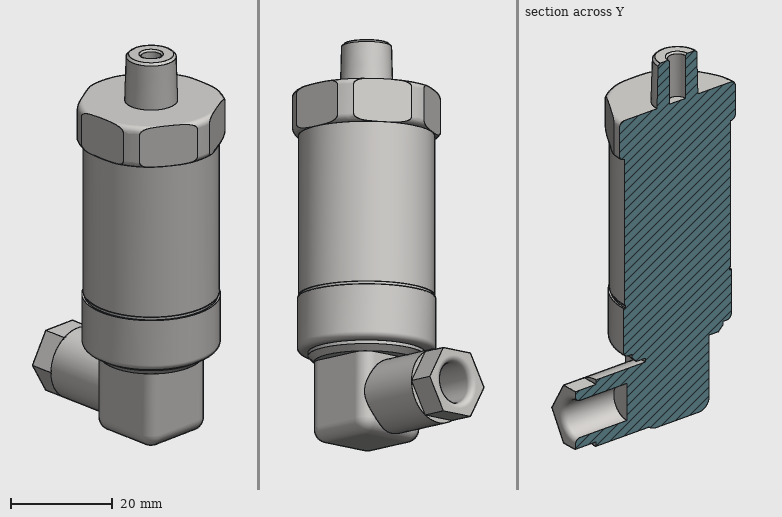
import cadquery as cq
import math


hexagon_sides = 6

elbow_width = 16.15
elbow_fillet = 2.7

outlet_axis_z = elbow_width / 2
outlet_diameter = 14.78
outlet_end_x = -25.81
outlet_hex_length = 5.2
bore_diameter = 8.1
bore_mouth_fillet = 1.25
bore_depth = 13.0

seat_bottom_z = 16.2
seat_diameter = 23.1
seat_chamfer = 1.2

collar_bottom_z = 18.1
collar_top_z = 29.0
collar_diameter = 27.33
collar_fillet = 1.2

body_diameter = 26.9
relief_height = 0.6
relief_depth = 0.2

nut_bottom_z = 61.8
nut_top_z = 70.45
nut_flats = 27.0
nut_corner_diameter = 29.44
nut_edge_fillet = 1.3

stem_top_z = 80.26
stem_base_diameter = 10.45
stem_tip_diameter = 9.9
stem_tip_chamfer = 0.5
port_diameter = 4.0
port_chamfer = 0.4
port_depth = stem_top_z - nut_top_z


def cylinder(diameter, bottom_z, top_z):
    """Cylinder on the main axis between two heights."""
    return cq.Workplane("XY", origin=(0, 0, bottom_z)).circle(diameter / 2).extrude(top_z - bottom_z)


def hexagon_corner_diameter(flats):
    """Diameter across the corners of a hexagon with the given width across flats."""
    return flats / math.cos(math.pi / hexagon_sides)


def make_elbow_block():
    height = collar_bottom_z
    block = cq.Workplane("XY").box(elbow_width, elbow_width, height, centered=(True, True, False))
    return block.edges("|Z").fillet(elbow_fillet).faces("<Z").edges().fillet(elbow_fillet)


def make_outlet():
    end_plane = cq.Plane(origin=(outlet_end_x, 0, outlet_axis_z), xDir=(0, 1, 0), normal=(1, 0, 0))
    hex_end = cq.Workplane(end_plane).polygon(hexagon_sides, outlet_diameter).extrude(outlet_hex_length)
    tube = (
        cq.Workplane(end_plane)
        .workplane(offset=outlet_hex_length)
        .circle(outlet_diameter / 2)
        .extrude(-outlet_end_x - outlet_hex_length)
    )
    return hex_end.union(tube)


def make_outlet_bore():
    """Blind bore along X whose mouth flares outward with a convex round."""
    radius = bore_diameter / 2
    mouth_radius = radius + bore_mouth_fillet
    arc_offset = bore_mouth_fillet * (1 - math.sqrt(0.5))
    profile = (
        cq.Workplane("XY")
        .moveTo(0, 0)
        .lineTo(0, mouth_radius)
        .threePointArc((arc_offset, radius + arc_offset), (bore_mouth_fillet, radius))
        .lineTo(bore_depth, radius)
        .lineTo(bore_depth, 0)
        .close()
    )
    bore = profile.revolve(360, (0, 0, 0), (1, 0, 0))
    return bore.translate((outlet_end_x, 0, outlet_axis_z))


def make_seat():
    return cylinder(seat_diameter, seat_bottom_z, collar_bottom_z).faces("<Z").chamfer(seat_chamfer)


def make_collar():
    return cylinder(collar_diameter, collar_bottom_z, collar_top_z).faces("<Z").edges().fillet(collar_fillet)


def make_body():
    relief_top_z = collar_top_z + relief_height
    relief = cylinder(body_diameter - 2 * relief_depth, collar_top_z, relief_top_z)
    return relief.union(cylinder(body_diameter, relief_top_z, nut_bottom_z))


def make_nut():
    """Hexagon prism with its corners turned to a rounded-edge cylinder."""
    prism = (
        cq.Workplane("XY", origin=(0, 0, nut_bottom_z))
        .polygon(hexagon_sides, hexagon_corner_diameter(nut_flats))
        .extrude(nut_top_z - nut_bottom_z)
    )
    envelope = cylinder(nut_corner_diameter, nut_bottom_z, nut_top_z)
    return prism.intersect(envelope.edges().fillet(nut_edge_fillet))


def make_stem():
    base_radius = stem_base_diameter / 2
    tip_radius = stem_tip_diameter / 2
    profile = (
        cq.Workplane("XZ")
        .moveTo(0, nut_top_z)
        .lineTo(base_radius, nut_top_z)
        .lineTo(tip_radius, stem_top_z - stem_tip_chamfer)
        .lineTo(tip_radius - stem_tip_chamfer, stem_top_z)
        .lineTo(0, stem_top_z)
        .close()
    )
    return profile.revolve(360, (0, 0, 0), (0, 1, 0))


def make_port():
    """Blind hole down the stem with a chamfered mouth."""
    port_radius = port_diameter / 2
    profile = (
        cq.Workplane("XZ")
        .moveTo(0, stem_top_z)
        .lineTo(port_radius + port_chamfer, stem_top_z)
        .lineTo(port_radius, stem_top_z - port_chamfer)
        .lineTo(port_radius, stem_top_z - port_depth)
        .lineTo(0, stem_top_z - port_depth)
        .close()
    )
    return profile.revolve(360, (0, 0, 0), (0, 1, 0))


result = (
    make_body()
    .union(make_collar())
    .union(make_seat())
    .union(make_elbow_block())
    .union(make_outlet())
    .union(make_nut())
    .union(make_stem())
    .cut(make_outlet_bore())
    .cut(make_port())
)